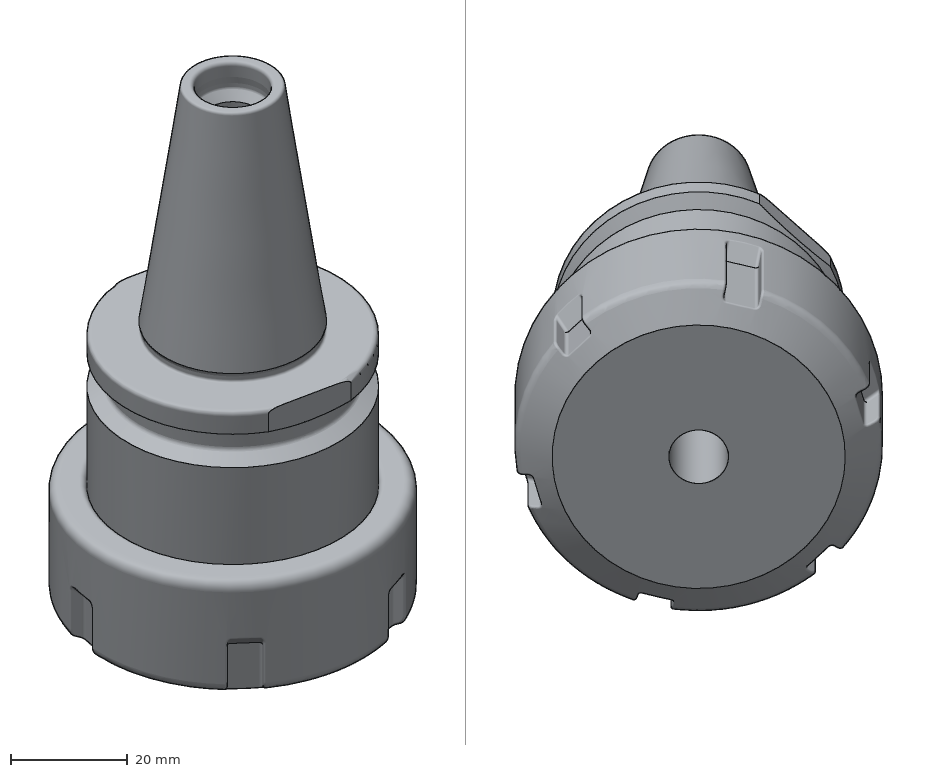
import cadquery as cq
import math

total_height = 107.8
nut_height = 25.9
flange_top = 56.8
shoulder_z = 58.8

nut_radius = 31.5
nut_top_fillet = 2.0
nut_bottom_fillet = 2.0
nut_mouth_fillet = 1.2
nut_nose_radius = 25.1
nut_nose_angle = 30.5

slot_count = 6
slot_width = 6.2
slot_depth = 2.85
slot_top = 14.4
long_slot_top = 21.1
long_slot_angle = 150.0
slot_floor_fillet = 0.6
slot_mouth_fillet = 0.4

body_radius = 25.0
groove_radius = 22.0
groove_upper_z = 50.55
groove_lower_z = 47.1
groove_fillet = 0.8
flange_flat_offset = 23.5
flange_top_fillet = 0.9
flank_height = (body_radius - groove_radius) * math.tan(math.radians(30))

taper_slope = 7 / 48
taper_small_radius = 8.95
taper_edge_fillet = 0.6
taper_large_radius = taper_small_radius + taper_slope * (total_height - shoulder_z)
neck_radius = 15.8
neck_bevel_z = 58.05
neck_fillet = 0.5
neck_bevel_fillet = 0.4

hole_radius = 5.1
mouth_radius = 6.6
mouth_fillet = 0.8
mouth_depth = 3.05
recess_radius = 6.75
recess_start_depth = 4.4
recess_end_depth = 5.4
seat_end_depth = 7.1
recess_fillet = 0.5


def edges_at(solid, radius, z):
    """Circular edges of the given radius, centred on the axis at height z."""
    tolerance = 0.001
    reach = radius + tolerance
    box = cq.selectors.BoxSelector(
        (-reach, -reach, z - tolerance),
        (reach, reach, z + tolerance),
        boundingbox=True,
    )
    circles = solid.edges(box).edges("%CIRCLE")
    return circles.filter(lambda edge: math.isclose(edge.radius(), radius, abs_tol=tolerance))


def revolve_profile(points):
    return cq.Workplane("XZ").polyline(points).close().revolve(360, (0, 0, 0), (0, 1, 0))


def make_holder():
    holder = revolve_profile([
        (0, 0),
        (body_radius, 0),
        (body_radius, groove_lower_z - flank_height),
        (groove_radius, groove_lower_z),
        (groove_radius, groove_upper_z),
        (body_radius, groove_upper_z + flank_height),
        (body_radius, flange_top),
        (neck_radius, flange_top),
        (neck_radius, neck_bevel_z),
        (taper_large_radius, shoulder_z),
        (taper_small_radius, total_height),
        (0, total_height),
    ])
    holder = edges_at(holder, groove_radius, groove_lower_z).fillet(groove_fillet)
    holder = edges_at(holder, groove_radius, groove_upper_z).fillet(groove_fillet)
    holder = edges_at(holder, body_radius, flange_top).fillet(flange_top_fillet)
    holder = edges_at(holder, neck_radius, flange_top).fillet(neck_fillet)
    holder = edges_at(holder, neck_radius, neck_bevel_z).fillet(neck_bevel_fillet)
    return edges_at(holder, taper_small_radius, total_height).fillet(taper_edge_fillet)


def cut_flange_flats(holder):
    """Two parallel flats across the flange, on the -X and +X sides."""
    flat_bottom = (groove_lower_z + groove_upper_z) / 2
    flat_height = flange_top - flat_bottom
    band = cq.Workplane("XY").workplane(offset=flat_bottom).circle(2 * body_radius).extrude(flat_height)
    keep = cq.Workplane("XY").workplane(offset=flat_bottom)
    keep = keep.rect(2 * flange_flat_offset, 4 * body_radius).extrude(flat_height)
    return holder.cut(band.cut(keep))


def make_nut():
    nose_height = (nut_radius - nut_nose_radius) * math.tan(math.radians(nut_nose_angle))
    nut = revolve_profile([
        (hole_radius, 0),
        (nut_nose_radius, 0),
        (nut_radius, nose_height),
        (nut_radius, nut_height),
        (body_radius, nut_height),
        (body_radius, nut_height - nut_mouth_fillet),
        (hole_radius, nut_height - nut_mouth_fillet),
    ])
    nut = edges_at(nut, nut_radius, nose_height).fillet(nut_bottom_fillet)
    nut = edges_at(nut, nut_radius, nut_height).fillet(nut_top_fillet)
    mouth = (
        cq.Workplane("XZ")
        .moveTo(body_radius, nut_height - nut_mouth_fillet)
        .radiusArc((body_radius + nut_mouth_fillet, nut_height), nut_mouth_fillet)
        .lineTo(body_radius, nut_height)
        .close()
        .revolve(360, (0, 0, 0), (0, 1, 0))
    )
    return nut.cut(mouth)


def slot_cutter(top):
    """Slot on the +X side, open downward, its upper end a 45 degree ramp."""
    floor = nut_radius - slot_depth
    margin = 2.0
    cutter = (
        cq.Workplane("XZ")
        .polyline([
            (floor, -margin),
            (nut_radius + margin, -margin),
            (nut_radius + margin, top + margin),
            (floor, top - slot_depth),
        ])
        .close()
        .extrude(slot_width / 2, both=True)
    )
    floor_sides = cutter.edges("<X and |Z")
    ramp_sides = cutter.edges("not (|X or |Y or |Z)")
    return floor_sides.add(ramp_sides).fillet(slot_floor_fillet)


def round_slot_mouth(nut, top):
    """Round the two long edges and the upper edge of the +X slot's opening."""
    margin = 0.1
    skin = 0.3
    box = cq.selectors.BoxSelector(
        (nut_radius - skin, -slot_width / 2 - margin, nut_bottom_fillet),
        (nut_radius + margin, slot_width / 2 + margin, top + margin),
    )
    return nut.edges(box).fillet(slot_mouth_fillet)


def cut_slots(nut):
    step = 360 / slot_count
    for index in range(slot_count):
        angle = step / 2 + index * step
        top = long_slot_top if math.isclose(angle, long_slot_angle) else slot_top
        turned = nut.rotate((0, 0, 0), (0, 0, 1), -angle).cut(slot_cutter(top))
        turned = round_slot_mouth(turned, top)
        nut = turned.rotate((0, 0, 0), (0, 0, 1), angle)
    return nut


def make_bore():
    """Stepped bore: mouth, thread relief recess, conical seat and through hole."""
    bore = revolve_profile([
        (0, 0),
        (hole_radius, 0),
        (hole_radius, total_height - seat_end_depth),
        (recess_radius, total_height - recess_end_depth),
        (recess_radius, total_height - recess_start_depth),
        (mouth_radius, total_height - mouth_depth),
        (mouth_radius, total_height),
        (0, total_height),
    ])
    return edges_at(bore, recess_radius, total_height - recess_end_depth).fillet(recess_fillet)


holder = cut_flange_flats(make_holder())
nut = cut_slots(make_nut())
result = holder.union(nut).cut(make_bore())
result = edges_at(result, mouth_radius, total_height).fillet(mouth_fillet)